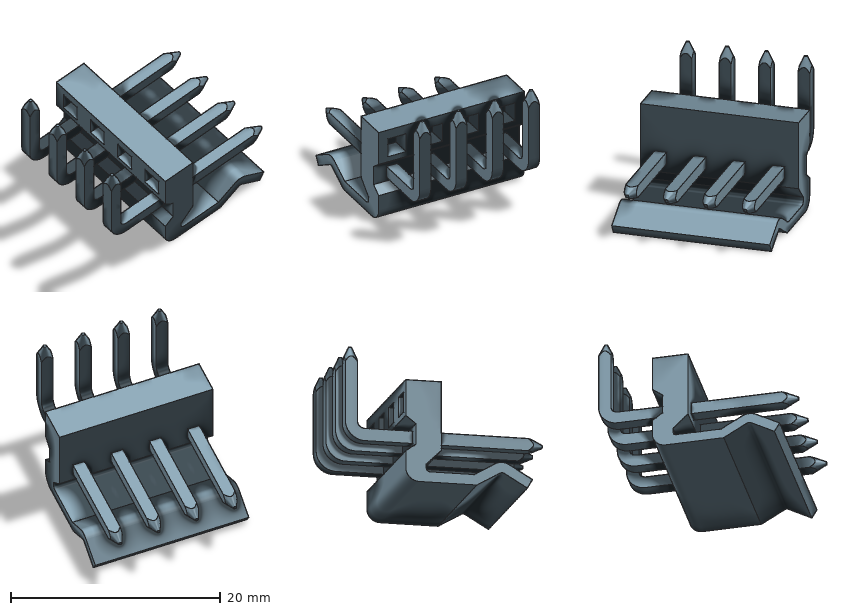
import cadquery as cq
import math

housing_width = 15.9
housing_depth = 3.5
housing_height = 10.0

pin_count = 4
pin_pitch = 3.95
pin_width = 1.2
pin_axis_height = 4.7
pin_back_end = 13.88
pin_front_face = -5.62
pin_top_end = 13.38
bend_outer_radius = 1.93
tip_length = 0.98
tip_radius = 0.15

notch_depth = 1.0
notch_outer_bottom = 2.96
notch_inner_bottom = 3.69
notch_inner_top = 5.7
notch_outer_top = 6.45

neck_depth = 2.0
back_face_bottom = 3.2
neck_slope_bottom = 1.75
root_outer_radius = 1.3
root_inner_radius = 0.4

arm_thickness = 1.01
arm_angle = math.radians(30)
arm_bend_start = 7.0
arm_tip_bottom = 11.97
crest_inner_radius = 0.39

pocket_size = 1.99
pocket_top_margin = 1.0
pocket_depth = 2.0

pin_xs = [(i - (pin_count - 1) / 2) * pin_pitch for i in range(pin_count)]
bend_centre_y = pin_front_face + bend_outer_radius
bend_centre_z = pin_axis_height - pin_width / 2 + bend_outer_radius
crest_outer_radius = crest_inner_radius + arm_thickness


def housing_outline():
    """Closed YZ profile of the wall and its latch arm, before rounding.

    Also returns the (corner, radius) of each bend to be rounded.
    """
    crest_y = (arm_bend_start + arm_tip_bottom) / 2
    crest_inner_z = (crest_y - arm_bend_start) * math.tan(arm_angle)
    crest_outer_z = crest_inner_z + arm_thickness / math.cos(arm_angle)
    arm_bend_inner = arm_bend_start - arm_thickness * math.tan(arm_angle / 2)
    arm_tip_top = arm_tip_bottom + arm_thickness * math.sin(arm_angle)
    arm_tip_top_z = arm_thickness * math.cos(arm_angle)
    wall_points = [
        (0, 0),
        (0, notch_outer_bottom),
        (notch_depth, notch_inner_bottom),
        (notch_depth, notch_inner_top),
        (0, notch_outer_top),
        (0, housing_height),
        (housing_depth, housing_height),
        (housing_depth, back_face_bottom),
        (neck_depth, neck_slope_bottom),
        (neck_depth, arm_thickness),
    ]
    arm_points = [
        (arm_bend_inner, arm_thickness),
        (crest_y, crest_outer_z),
        (arm_tip_top, arm_tip_top_z),
        (arm_tip_bottom, 0),
        (crest_y, crest_inner_z),
        (arm_bend_start, 0),
    ]
    bends = [
        ((0, 0), root_outer_radius),
        ((neck_depth, arm_thickness), root_inner_radius),
        ((crest_y, crest_outer_z), crest_outer_radius),
        ((crest_y, crest_inner_z), crest_inner_radius),
    ]
    return wall_points + arm_points, bends


def make_pocket(x):
    """Square block that cuts one blind pocket into the front face."""
    pocket_bottom = housing_height - pocket_top_margin - pocket_size
    return (
        cq.Workplane("XY")
        .box(pocket_size, pocket_depth, pocket_size, centered=(True, False, False))
        .translate((x, 0, pocket_bottom))
    )


def make_housing(pins):
    """Wall with a sprung latch arm, a blind pocket over each pin and a hole for each pin."""
    points, bends = housing_outline()
    housing = (
        cq.Workplane("YZ")
        .polyline(points)
        .close()
        .extrude(housing_width / 2, both=True)
    )
    for (y, z), radius in bends:
        edge_point = cq.selectors.NearestToPointSelector((0, y, z))
        housing = housing.edges("|X").edges(edge_point).fillet(radius)

    for x in pin_xs:
        housing = housing.cut(make_pocket(x))
    for pin in pins:
        housing = housing.cut(pin)
    return housing


def make_leg(length):
    """Square leg standing on the origin along +Z, its upper end turned to a blunt cone."""
    corner_radius = pin_width * math.sqrt(0.5)
    cone_slope = tip_length / (pin_width / 2 - tip_radius)
    cone_length = (corner_radius - tip_radius) * cone_slope
    half_profile = [
        (0, 0),
        (corner_radius, 0),
        (corner_radius, length - cone_length),
        (tip_radius, length),
        (0, length),
    ]
    turned_bar = cq.Workplane("XZ").polyline(half_profile).close().revolve(360, (0, 0), (0, 1))
    square_bar = cq.Workplane("XY").rect(pin_width, pin_width).extrude(length)
    return square_bar.intersect(turned_bar)


def make_bend():
    """Quarter-turn elbow joining the two legs, centred on X = 0."""
    diagonal = math.sqrt(0.5)
    inner_radius = bend_outer_radius - pin_width
    return (
        cq.Workplane("YZ", origin=(0, bend_centre_y, bend_centre_z))
        .moveTo(-bend_outer_radius, 0)
        .threePointArc(
            (-bend_outer_radius * diagonal, -bend_outer_radius * diagonal),
            (0, -bend_outer_radius),
        )
        .lineTo(0, -inner_radius)
        .threePointArc((-inner_radius * diagonal, -inner_radius * diagonal), (-inner_radius, 0))
        .close()
        .extrude(pin_width / 2, both=True)
    )


def make_pin(x):
    """Right-angle pin: a level leg through the housing and an upright leg in front of it."""
    upright_leg = make_leg(pin_top_end - bend_centre_z).translate(
        (0, pin_front_face + pin_width / 2, bend_centre_z)
    )
    level_leg = (
        make_leg(pin_back_end - bend_centre_y)
        .rotate((0, 0, 0), (1, 0, 0), -90)
        .translate((0, bend_centre_y, pin_axis_height))
    )
    return upright_leg.union(make_bend()).union(level_leg).translate((x, 0, 0))


pins = [make_pin(x) for x in pin_xs]
housing = make_housing(pins)

result = cq.Compound.makeCompound([housing.val(), *[pin.val() for pin in pins]])